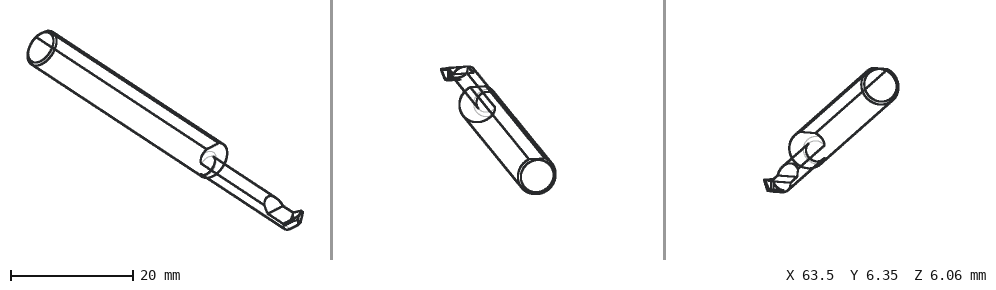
import cadquery as cq
import math

total_length = 63.5
shank_length = 42.5

shank_radius = 3.175
flat_height = 2.885
back_chamfer_length = 0.3
back_chamfer_depth = 0.42

neck_radius = 1.75
neck_axis_y = -1.6
neck_fillet = 0.6
neck_side_y = neck_axis_y + neck_radius

rake_face_z = 0.0
rake_face_length = 3.8
runout_angle = 45.0

tooth_tip_y = 1.45
tooth_root_back = 1.35
tooth_tip_back = 0.85
tooth_tip_front = 0.35
tooth_root_front = 0.1
tooth_relief_angle = 20.0


def make_round_bar(length):
    """Bar of the shank diameter, chamfered at its back end."""
    profile = [
        (0, 0),
        (0, shank_radius - back_chamfer_depth),
        (back_chamfer_length, shank_radius),
        (length, shank_radius),
        (length, 0),
    ]
    return cq.Workplane("XY").polyline(profile).close().revolve(360, (0, 0, 0), (1, 0, 0))


def make_shank():
    """Round bar with a clamping flat along its top."""
    flat_cutter = (
        cq.Workplane("XY")
        .box(shank_length, 2 * shank_radius, shank_radius, centered=(False, True, False))
        .translate((0, 0, flat_height))
    )
    return make_round_bar(shank_length).cut(flat_cutter)


def make_neck():
    """Neck cylinder flared by a concave fillet where it leaves the shank."""
    flare_end = shank_length + neck_fillet
    flare_radius = neck_radius + neck_fillet
    arc_offset = neck_fillet * (1 - math.sqrt(0.5))
    blank = (
        cq.Workplane("XZ", origin=(0, neck_axis_y, 0))
        .moveTo(shank_length, 0)
        .lineTo(shank_length, flare_radius)
        .threePointArc((shank_length + arc_offset, neck_radius + arc_offset), (flare_end, neck_radius))
        .lineTo(total_length, neck_radius)
        .lineTo(total_length, 0)
        .close()
        .revolve(360, (0, 0, 0), (1, 0, 0))
    )
    return blank.intersect(make_round_bar(total_length))


def make_tooth():
    """Tooth plan shape, limited by a tip flank that leans back below the rake face."""
    plan = [
        (total_length - tooth_root_back, neck_axis_y),
        (total_length - tooth_root_back, neck_side_y),
        (total_length - tooth_tip_back, tooth_tip_y),
        (total_length - tooth_tip_front, tooth_tip_y),
        (total_length - tooth_root_front, neck_side_y),
        (total_length, neck_side_y),
        (total_length, neck_axis_y),
    ]
    bottom_z = -neck_radius
    tooth_height = rake_face_z - bottom_z
    tooth_blank = cq.Workplane("XY", origin=(0, 0, bottom_z)).polyline(plan).close().extrude(tooth_height)
    relief_offset = tooth_height * math.tan(math.radians(tooth_relief_angle))
    section = [
        (neck_axis_y, rake_face_z),
        (tooth_tip_y, rake_face_z),
        (tooth_tip_y - relief_offset, bottom_z),
        (neck_axis_y, bottom_z),
    ]
    return tooth_blank.intersect(cq.Workplane("YZ").polyline(section).close().extrude(total_length))


def make_rake_cutter():
    """Material above the rake face, ending in the sloped run-out."""
    rake_start = total_length - rake_face_length
    runout_height = 2 * neck_radius
    runout_length = runout_height / math.tan(math.radians(runout_angle))
    outline = [
        (rake_start, rake_face_z),
        (total_length, rake_face_z),
        (total_length, rake_face_z + runout_height),
        (rake_start - runout_length, rake_face_z + runout_height),
    ]
    return cq.Workplane("XZ").polyline(outline).close().extrude(shank_radius, both=True)


neck = make_neck().cut(make_rake_cutter())
result = make_shank().union(neck).union(make_tooth())